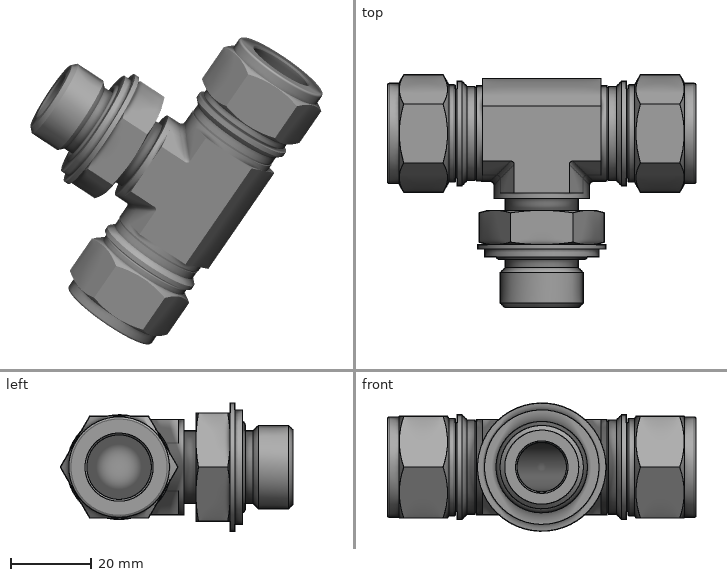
import cadquery as cq
import math

half_length = 38.4
stud_end = 43.35

body_flats = 23.8
hex_arm = 14.75
round_arm = 16.2
crotch_fillet = 1.0

nut_flats = 25.35
nut_inner_end = 21.5
nut_skirt_start = 23.1
nut_collar_start = 35.6
nut_skirt_diameter = 24.3
nut_collar_diameter = 25.05
nut_end_fillet = 0.5
nut_skirt_fillet = 0.3
tube_bore_diameter = 16.1
tube_bore_chamfer = 0.45
tube_bore_floor = 21.5

gap_diameter = 22.2
flange_outer = 21.05
flange_inner = 19.9
flange_diameter = 26.1
neck_diameter = 23.5
neck_end = 16.7
relief_diameter = 23.0

stud_neck_diameter = 18.2
lock_nut_flats = 27.0
lock_nut_start = 19.1
lock_nut_chamfer = 0.6
washer_start = 27.7
washer_diameter = 32.0
washer_end = 28.8
retainer_diameter = 28.5
retainer_end = 30.75
ring_outer_diameter = 23.0
ring_bottom = 31.4
thread_diameter = 20.75
thread_start = 34.65
thread_chamfer = 1.15

run_bore_diameter = 12.3
stud_bore_diameter = 12.3
stud_bore_chamfer = 0.4

CORNER_RATIO = 1 / math.cos(math.radians(30))
CHAMFER_SLOPE = math.tan(math.radians(30))


def revolve_about_x(points):
    """Solid of revolution about X from (x, radius) points."""
    return cq.Workplane("XY").polyline(points).close().revolve(360, (0, 0, 0), (1, 0, 0))


def revolve_about_stud(points):
    """Solid of revolution about Y from (distance along -Y, radius) points."""
    outline = [(radius, -distance) for distance, radius in points]
    return cq.Workplane("XY").polyline(outline).close().revolve(360, (0, 0, 0), (0, 1, 0))


def hex_along_x(flats, start, end):
    """Hexagonal bar along X with corners on +Y and -Y."""
    return (
        cq.Workplane("YZ").workplane(offset=start)
        .polygon(6, flats * CORNER_RATIO).extrude(end - start)
    )


def hex_along_stud(flats, start, end):
    """Hexagonal bar along -Y with corners on +X and -X."""
    return (
        cq.Workplane("XZ").workplane(offset=start)
        .polygon(6, flats * CORNER_RATIO).extrude(end - start)
    )


def make_body():
    radius = body_flats / 2
    corner = radius * CORNER_RATIO
    tangent = radius / CORNER_RATIO
    run = hex_along_x(body_flats, -hex_arm, hex_arm)
    back = cq.Workplane("XY").box(
        2 * hex_arm, corner + tangent, body_flats, centered=(True, False, True)
    ).translate((0, -tangent, 0))
    round_run = cq.Workplane("YZ").workplane(offset=-hex_arm).circle(radius).extrude(2 * hex_arm)
    run = run.intersect(back.union(round_run))

    branch = hex_along_stud(body_flats, 0, hex_arm)
    middle = cq.Workplane("XY").box(2 * tangent, 2 * hex_arm, body_flats)
    round_branch = cq.Workplane("XZ").circle(radius).extrude(hex_arm)
    branch = branch.intersect(middle.union(round_branch))

    body = run.union(branch)

    crotch_inner = tangent / 2
    crotch_outer = radius
    for side in (-1, 1):
        inside = cq.selectors.BoxSelector(
            (side * crotch_inner, -crotch_inner, -tangent),
            (side * crotch_outer, -crotch_outer, tangent),
        )
        body = body.edges(inside).fillet(crotch_fillet)

    shoulders = revolve_about_x(
        [(-round_arm, 0), (-round_arm, radius), (-hex_arm, radius), (-hex_arm, 0)]
    )
    shoulders = shoulders.union(shoulders.mirror("YZ"))
    shoulders = shoulders.union(
        revolve_about_stud([(hex_arm, 0), (hex_arm, radius), (round_arm, radius), (round_arm, 0)])
    )
    return body.union(shoulders)


def make_compression_end():
    """Neck, flange and nut on the +X end of the run."""
    relief = relief_diameter / 2
    neck = neck_diameter / 2
    flange = flange_diameter / 2
    gap = gap_diameter / 2
    neck_start = flange_inner - (flange - neck)
    end = revolve_about_x([
        (round_arm, 0),
        (round_arm, relief),
        (neck_end, relief),
        (neck_end, neck),
        (neck_start, neck),
        (flange_inner, flange),
        (flange_outer, flange),
        (flange_outer, gap),
        (nut_inner_end, gap),
        (nut_inner_end, 0),
    ])

    skirt = nut_skirt_diameter / 2
    collar = nut_collar_diameter / 2
    corner = nut_flats / 2 * CORNER_RATIO
    envelope = revolve_about_x([
        (nut_inner_end, 0),
        (nut_inner_end, skirt),
        (nut_skirt_start, skirt),
        (nut_skirt_start + (corner - skirt) * CHAMFER_SLOPE, corner),
        (nut_collar_start - (corner - collar) * CHAMFER_SLOPE, corner),
        (nut_collar_start, collar),
        (half_length, collar),
        (half_length, 0),
    ])
    envelope = envelope.faces(">X").edges().fillet(nut_end_fillet)
    envelope = envelope.faces("<X").edges().fillet(nut_skirt_fillet)
    hexagon = hex_along_x(nut_flats, nut_inner_end, half_length)
    nut = envelope.intersect(hexagon)

    bore = tube_bore_diameter / 2
    tube_bore = revolve_about_x([
        (tube_bore_floor, 0),
        (tube_bore_floor, bore),
        (half_length - tube_bore_chamfer, bore),
        (half_length, bore + tube_bore_chamfer),
        (half_length, 0),
    ])
    return end.union(nut).cut(tube_bore)


def make_stud():
    """Stud with lock nut, washer, retaining ring, O-ring and thread."""
    neck = stud_neck_diameter / 2
    thread = thread_diameter / 2
    washer = washer_diameter / 2
    retainer = retainer_diameter / 2
    stud = revolve_about_stud([
        (round_arm, 0),
        (round_arm, neck),
        (washer_start, neck),
        (washer_start, washer),
        (washer_end, washer),
        (washer_end, retainer),
        (retainer_end, retainer),
        (retainer_end, neck),
        (thread_start - (thread - neck), neck),
        (thread_start, thread),
        (stud_end - thread_chamfer, thread),
        (stud_end, thread - thread_chamfer),
        (stud_end, 0),
    ])

    across_flats = lock_nut_flats / 2
    corner = across_flats * CORNER_RATIO
    chamfer_cone = revolve_about_stud([
        (lock_nut_start, 0),
        (lock_nut_start, across_flats),
        (lock_nut_start + lock_nut_chamfer, corner),
        (washer_start - lock_nut_chamfer, corner),
        (washer_start, across_flats),
        (washer_start, 0),
    ])
    lock_nut = hex_along_stud(lock_nut_flats, lock_nut_start, washer_start).intersect(chamfer_cone)

    section = (ring_outer_diameter - stud_neck_diameter) / 4
    ring = (
        cq.Workplane("XY").center(neck + section, section - ring_bottom).circle(section)
        .revolve(360, (-neck - section, 0, 0), (-neck - section, 1, 0))
    )
    return stud.union(lock_nut).union(ring)


def make_flow_passage():
    """Run bore inside the body, opened by the stud bore."""
    run_bore = cq.Workplane("YZ").circle(run_bore_diameter / 2).extrude(round_arm, both=True)
    bore = stud_bore_diameter / 2
    stud_bore = revolve_about_stud([
        (0, 0),
        (0, bore),
        (stud_end - stud_bore_chamfer, bore),
        (stud_end, bore + stud_bore_chamfer),
        (stud_end, 0),
    ])
    return run_bore.union(stud_bore)


compression_end = make_compression_end()
result = (
    make_body()
    .union(compression_end)
    .union(compression_end.mirror("YZ"))
    .union(make_stud())
    .cut(make_flow_passage())
)